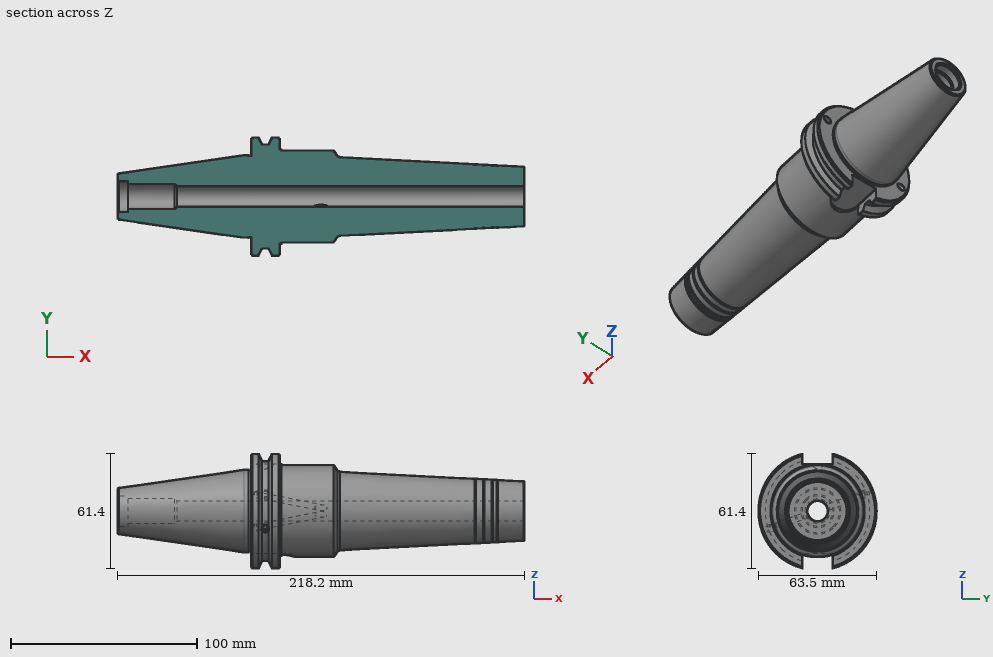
import cadquery as cq
import math

total_length = 218.2

taper_ratio = 7 / 24
taper_length = 67.9
gauge_diameter = 44.5
tip_diameter = gauge_diameter - taper_length * taper_ratio
tip_chamfer = 0.7
collar_end_x = 70.3

undercut_diameter = 43.6

flange_start_x = 71.5
flange_end_x = 87.0
flange_diameter = 63.5
flange_chamfer = 0.9
groove_x = 79.2
groove_floor_diameter = 56.0
groove_floor_width = 3.5
groove_mouth_width = 7.2

body_diameter = 49.5
ring_diameter = 50.6
ring_end_x = 88.0
body_end_x = 115.7
shoulder_mid_x = 116.5
shoulder_mid_diameter = 47.8
shoulder_end_x = 117.9
shoulder_end_diameter = 43.6
nose_start_x = 119.2

nose_start_diameter = 42.3
nose_end_diameter = 32.0
nose_chamfer = 0.5
nose_taper = (nose_start_diameter - nose_end_diameter) / (total_length - nose_start_x)
ring_groove_positions = (191.8, 196.5, 201.0, 203.6)
ring_groove_width = 0.7
ring_groove_depth = 0.33

slot_width = 16.2
upper_slot_floor_z = 25.3
lower_slot_floor_z = -22.7
slot_end_x = 95.5
dimple_diameter = 9.5
dimple_point_angle = 118.0

through_diameter = 11.0
thread_diameter = 13.3
thread_end_x = 30.5
pilot_diameter = 16.4
pilot_depth = 5.5
mouth_diameter = 18.0
mouth_depth = 0.9
bore_step_length = 1.3

coolant_angles = (20.0, 200.0)
coolant_pitch_radius = 27.0
coolant_slant = 30.0
coolant_mouth_diameter = 4.1
coolant_mouth_depth = 2.8
coolant_diameter = 3.3
radial_mouth_diameter = 4.0
radial_mouth_depth = 1.3


def revolve_about_x(stations):
    """Solid of revolution about X from (x, diameter) stations."""
    points = [(x, diameter / 2) for x, diameter in stations]
    return cq.Workplane("XY").polyline(points).close().revolve(360, (0, 0, 0), (1, 0, 0))


def nose_diameter(x):
    return nose_start_diameter - (x - nose_start_x) * nose_taper


def turned_blank():
    chamfered_flange_diameter = flange_diameter - 2 * flange_chamfer
    nose_chamfer_x = total_length - nose_chamfer
    return revolve_about_x([
        (0, 0),
        (0, tip_diameter - 2 * tip_chamfer),
        (tip_chamfer, tip_diameter + tip_chamfer * taper_ratio),
        (taper_length, gauge_diameter),
        (collar_end_x, gauge_diameter),
        (collar_end_x, undercut_diameter),
        (flange_start_x, undercut_diameter),
        (flange_start_x, chamfered_flange_diameter),
        (flange_start_x + flange_chamfer, flange_diameter),
        (groove_x - groove_mouth_width / 2, flange_diameter),
        (groove_x - groove_floor_width / 2, groove_floor_diameter),
        (groove_x + groove_floor_width / 2, groove_floor_diameter),
        (groove_x + groove_mouth_width / 2, flange_diameter),
        (flange_end_x - flange_chamfer, flange_diameter),
        (flange_end_x, chamfered_flange_diameter),
        (flange_end_x, ring_diameter),
        (ring_end_x, ring_diameter),
        (ring_end_x, body_diameter),
        (body_end_x, body_diameter),
        (shoulder_mid_x, shoulder_mid_diameter),
        (shoulder_end_x, shoulder_end_diameter),
        (nose_start_x, nose_start_diameter),
        (nose_chamfer_x, nose_diameter(nose_chamfer_x)),
        (total_length, nose_end_diameter - 2 * nose_chamfer),
        (total_length, 0),
    ])


def ring_groove(x):
    floor_diameter = nose_diameter(x) - 2 * ring_groove_depth
    start = cq.Workplane("YZ", origin=(x - ring_groove_width / 2, 0, 0))
    return start.circle(body_diameter / 2).circle(floor_diameter / 2).extrude(ring_groove_width)


def drive_slot(floor_z, direction):
    """Slot running along X through the flange, with a round cutter end in the body."""
    floor = cq.Workplane("XY", origin=(0, 0, floor_z))
    height = direction * flange_diameter / 2
    round_center_x = slot_end_x - slot_width / 2
    length = round_center_x - collar_end_x
    channel = floor.center(collar_end_x + length / 2, 0).rect(length, slot_width).extrude(height)
    round_end = floor.center(round_center_x, 0).circle(slot_width / 2).extrude(height)
    return channel.union(round_end)


def dimple():
    """Conical drill spot in the upper slot floor."""
    radius = dimple_diameter / 2
    depth = radius / math.tan(math.radians(dimple_point_angle / 2))
    center = cq.Vector(groove_x, 0, upper_slot_floor_z)
    return cq.Workplane(cq.Solid.makeCone(radius, 0, depth, center, cq.Vector(0, 0, -1)))


def central_bore():
    return revolve_about_x([
        (0, 0),
        (0, mouth_diameter),
        (mouth_depth, pilot_diameter),
        (pilot_depth, pilot_diameter),
        (pilot_depth, thread_diameter),
        (thread_end_x, thread_diameter),
        (thread_end_x + bore_step_length, through_diameter),
        (total_length, through_diameter),
        (total_length, 0),
    ])


def cylinder(start, direction, diameter, length):
    return cq.Workplane(cq.Solid.makeCylinder(diameter / 2, length, start, direction))


def coolant_passage(angle):
    """Slanting hole from the flange face to the bore, crossed by a radial hole from the V-groove.

    Both holes have the same bore and a wider mouth.
    """
    slant = math.radians(coolant_slant)
    inward = cq.Vector(math.cos(slant), -math.sin(slant), 0)
    entry = cq.Vector(flange_start_x, coolant_pitch_radius, 0)
    length_to_axis = coolant_pitch_radius / math.sin(slant)
    lead = coolant_mouth_diameter
    slanting_hole = cylinder(entry, inward, coolant_diameter, length_to_axis).union(
        cylinder(entry - inward * lead, inward, coolant_mouth_diameter, lead + coolant_mouth_depth))

    crossing_radius = coolant_pitch_radius - (groove_x - flange_start_x) * math.tan(slant)
    groove_floor = cq.Vector(groove_x, groove_floor_diameter / 2, 0)
    floor_to_crossing = groove_floor_diameter / 2 - crossing_radius
    toward_axis = cq.Vector(0, -1, 0)
    outside_floor = groove_floor - toward_axis * radial_mouth_depth
    radial_hole = cylinder(groove_floor, toward_axis, coolant_diameter, floor_to_crossing).union(
        cylinder(outside_floor, toward_axis, radial_mouth_diameter, 2 * radial_mouth_depth))

    return slanting_hole.union(radial_hole).rotate((0, 0, 0), (1, 0, 0), angle)


result = turned_blank()
for position in ring_groove_positions:
    result = result.cut(ring_groove(position))
result = result.cut(drive_slot(upper_slot_floor_z, 1))
result = result.cut(drive_slot(lower_slot_floor_z, -1))
result = result.cut(dimple())
result = result.cut(central_bore())
for angle in coolant_angles:
    result = result.cut(coolant_passage(angle))